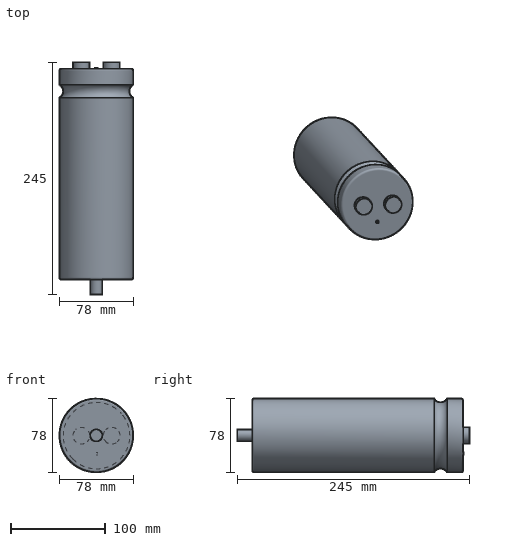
import cadquery as cq

total_length = 245.0
can_diameter = 78.0
edge_radius = 2.2

stud_diameter = 12.7
stud_length = 16.0

terminal_diameter = 17.6
terminal_height = 6.9
terminal_spacing = 31.8

groove_offset = 17.0
groove_width = 13.7
groove_depth = 4.0

vent_diameter = 3.0
vent_height = 0.7
vent_drop = 19.0

can_radius = can_diameter / 2
can_length = total_length - stud_length - terminal_height
stud_face_y = -can_length / 2
terminal_face_y = can_length / 2


def make_can():
    """Revolve the grooved can profile around the Y axis and round both rims."""
    groove_end_y = terminal_face_y - groove_offset
    groove_start_y = groove_end_y - groove_width
    groove_middle_y = (groove_start_y + groove_end_y) / 2
    can = (
        cq.Workplane("XY")
        .moveTo(0, stud_face_y)
        .lineTo(can_radius, stud_face_y)
        .lineTo(can_radius, groove_start_y)
        .threePointArc((can_radius - groove_depth, groove_middle_y), (can_radius, groove_end_y))
        .lineTo(can_radius, terminal_face_y)
        .lineTo(0, terminal_face_y)
        .close()
        .revolve(360, (0, 0, 0), (0, 1, 0))
    )
    return can.faces("<Y or >Y").edges().fillet(edge_radius)


def make_post(diameter, height, face_y, direction, x=0.0, z=0.0):
    """Round post standing on a can end; direction is +1 for +Y and -1 for -Y."""
    base = cq.Vector(x, face_y, z)
    axis = cq.Vector(0, direction, 0)
    return cq.Workplane(cq.Solid.makeCylinder(diameter / 2, height, base, axis))


result = make_can()
result = result.union(make_post(stud_diameter, stud_length, stud_face_y, -1))
for side in (-1, 1):
    terminal_x = side * terminal_spacing / 2
    result = result.union(
        make_post(terminal_diameter, terminal_height, terminal_face_y, 1, x=terminal_x)
    )
result = result.union(make_post(vent_diameter, vent_height, terminal_face_y, 1, z=-vent_drop))